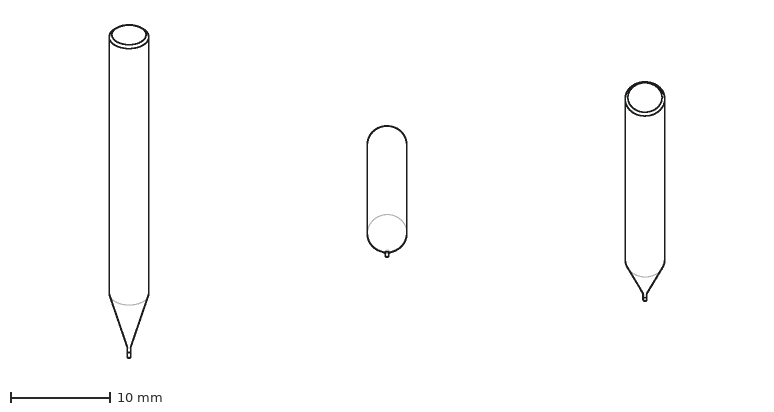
import cadquery as cq

TOTAL_LENGTH = 40.0
SHANK_RADIUS = 2.0
SHANK_BOTTOM = 8.0
CHAMFER = 0.3
NECK_TOP = 1.4
TIP_RADIUS = 0.2
CUTTER_TOP = 0.8


def make_shank():
    """Chamfered shank that tapers into a slender cylindrical neck."""
    profile = (
        cq.Workplane("XZ")
        .moveTo(0, CUTTER_TOP)
        .lineTo(TIP_RADIUS, CUTTER_TOP)
        .lineTo(TIP_RADIUS, NECK_TOP)
        .lineTo(SHANK_RADIUS, SHANK_BOTTOM)
        .lineTo(SHANK_RADIUS, TOTAL_LENGTH - CHAMFER)
        .lineTo(SHANK_RADIUS - CHAMFER, TOTAL_LENGTH)
        .lineTo(0, TOTAL_LENGTH)
        .close()
    )
    return profile.revolve(360, (0, 0, 0), (0, 1, 0))


def make_cutter():
    """Cylindrical cutting head with a hemispherical end, seated against the neck."""
    profile = (
        cq.Workplane("XZ")
        .moveTo(0, 0)
        .radiusArc((TIP_RADIUS, TIP_RADIUS), -TIP_RADIUS)
        .lineTo(TIP_RADIUS, CUTTER_TOP)
        .lineTo(0, CUTTER_TOP)
        .close()
    )
    return profile.revolve(360, (0, 0, 0), (0, 1, 0))


shank = make_shank()
cutter = make_cutter()

result = cq.Compound.makeCompound([shank.val(), cutter.val()])